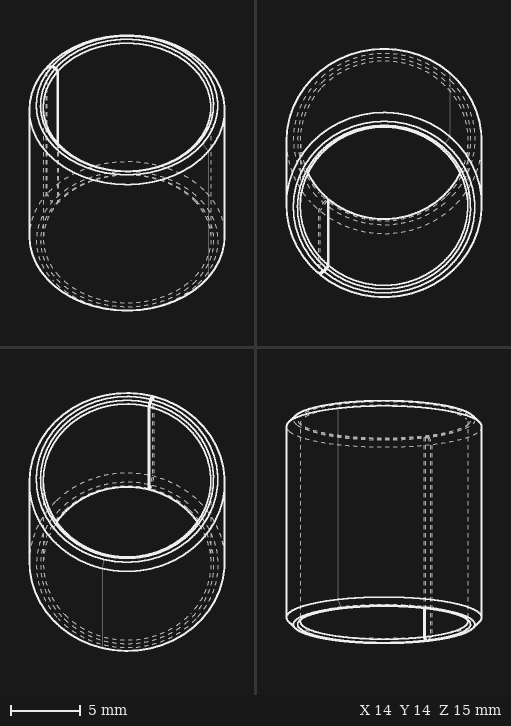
import cadquery as cq

outer_diameter = 14.0
bore_diameter = 12.0
length = 15.0
outer_chamfer = 0.5
bore_chamfer = 0.2
slit_angle = 1.0

outer_radius = outer_diameter / 2
bore_radius = bore_diameter / 2


def bush_body():
    """Revolve the wall section, chamfered at both ends inside and out."""
    wall_section = [
        (bore_radius, bore_chamfer),
        (bore_radius + bore_chamfer, 0),
        (outer_radius - outer_chamfer, 0),
        (outer_radius, outer_chamfer),
        (outer_radius, length - outer_chamfer),
        (outer_radius - outer_chamfer, length),
        (bore_radius + bore_chamfer, length),
        (bore_radius, length - bore_chamfer),
    ]
    return cq.Workplane("XZ").polyline(wall_section).close().revolve(360, (0, 0), (0, 1))


def butt_joint_slit():
    """Thin full-length wedge on the -X side, from the XZ plane towards +Y."""
    cutter_reach = outer_diameter
    half_section = cq.Workplane("XZ").rect(-cutter_reach, length, centered=False)
    return half_section.revolve(slit_angle, (0, 0), (0, -1))


result = bush_body().cut(butt_joint_slit())